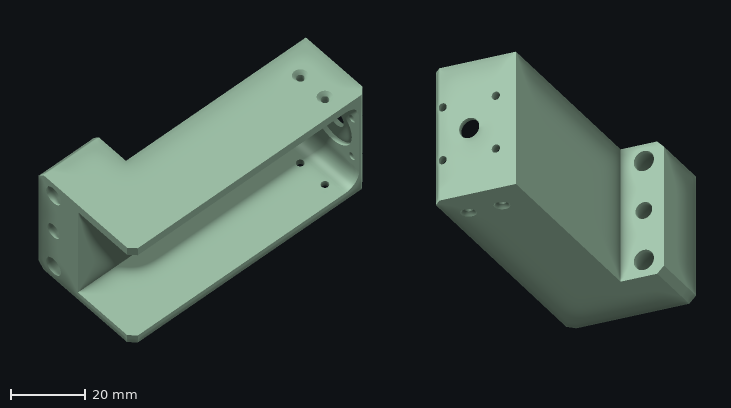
import cadquery as cq
import math

width = 38.0
length = 85.0
height = 40.0

wall = 3.0
foot_projection = 13.0
foot_depth = 20.0
corner_chamfer = 2.0
pocket_fillet = 5.0

foot_hole_x = 6.0
foot_bolt_offset = 15.0
foot_bolt_diameter = 6.0
foot_center_diameter = 5.0

motor_axis_inset = 11.0
shaft_diameter = 6.0
pilot_diameter = 16.0
pilot_depth = wall / 2
motor_screw_pitch = 16.0
motor_screw_diameter = 2.5

plate_hole_inset = 10.0
plate_hole_pitch = 10.0
plate_hole_diameter = 2.4
countersink_diameter = 4.5
countersink_angle = 90

motor_x = width - motor_axis_inset
end_wall_y = length - wall


def corner_box(x_start, y_start, x_end, y_end, z_size):
    """Box between two plan corners, centred on Z = 0."""
    return (
        cq.Workplane("XY")
        .box(x_end - x_start, y_end - y_start, z_size, centered=(False, False, True))
        .translate((x_start, y_start, 0))
    )


def y_holes(points, diameter, y_start, depth):
    """Cylinders along +Y at the given (x, z) points."""
    return (
        cq.Workplane("XZ", origin=(0, y_start, 0))
        .pushPoints(points)
        .circle(diameter / 2)
        .extrude(-depth)
    )


def make_blank():
    """Body with the foot on its front left; outer corners chamfered."""
    body = corner_box(foot_projection, 0, width, length, height)
    body = body.edges("|Z and >X").chamfer(corner_chamfer)
    foot = corner_box(0, 0, foot_projection, foot_depth, height)
    foot = foot.edges("|Y and <X").chamfer(corner_chamfer)
    return body.union(foot)


def make_pocket():
    """Channel open at the front and the +X side, rounded where the plates meet the end wall."""
    pocket = corner_box(foot_projection + wall, 0, width, end_wall_y, height - 2 * wall)
    return pocket.edges("|X and >Y").fillet(pocket_fillet)


def cut_foot_holes(part):
    bolt_points = [(foot_hole_x, side * foot_bolt_offset) for side in (-1, 1)]
    part = part.cut(y_holes(bolt_points, foot_bolt_diameter, 0, foot_depth))
    return part.cut(y_holes([(foot_hole_x, 0)], foot_center_diameter, 0, foot_depth))


def cut_motor_mount(part):
    """Shaft hole, shallow pilot recess on the pocket side and four screw holes."""
    screw_offset = motor_screw_pitch / 2
    screw_points = [
        (motor_x + x_side * screw_offset, z_side * screw_offset)
        for x_side in (-1, 1)
        for z_side in (-1, 1)
    ]
    part = part.cut(y_holes([(motor_x, 0)], shaft_diameter, end_wall_y, wall))
    part = part.cut(y_holes([(motor_x, 0)], pilot_diameter, end_wall_y, pilot_depth))
    return part.cut(y_holes(screw_points, motor_screw_diameter, end_wall_y, wall))


def cut_plate_holes(part):
    """Pair of holes either side of the motor axis, countersunk on both outer faces."""
    hole_y = length - plate_hole_inset
    hole_points = [(motor_x + side * plate_hole_pitch / 2, hole_y) for side in (-1, 1)]
    top_face = cq.Workplane("XY", origin=(0, 0, height / 2)).pushPoints(hole_points)
    drills = top_face.circle(plate_hole_diameter / 2).extrude(-height)
    half_angle = countersink_angle / 2
    cone_depth = (countersink_diameter - plate_hole_diameter) / 2 / math.tan(math.radians(half_angle))
    cones = top_face.circle(countersink_diameter / 2).extrude(-cone_depth, taper=half_angle)
    return part.cut(drills).cut(cones).cut(cones.mirror("XY"))


result = make_blank().cut(make_pocket())
result = cut_foot_holes(result)
result = cut_motor_mount(result)
result = cut_plate_holes(result)